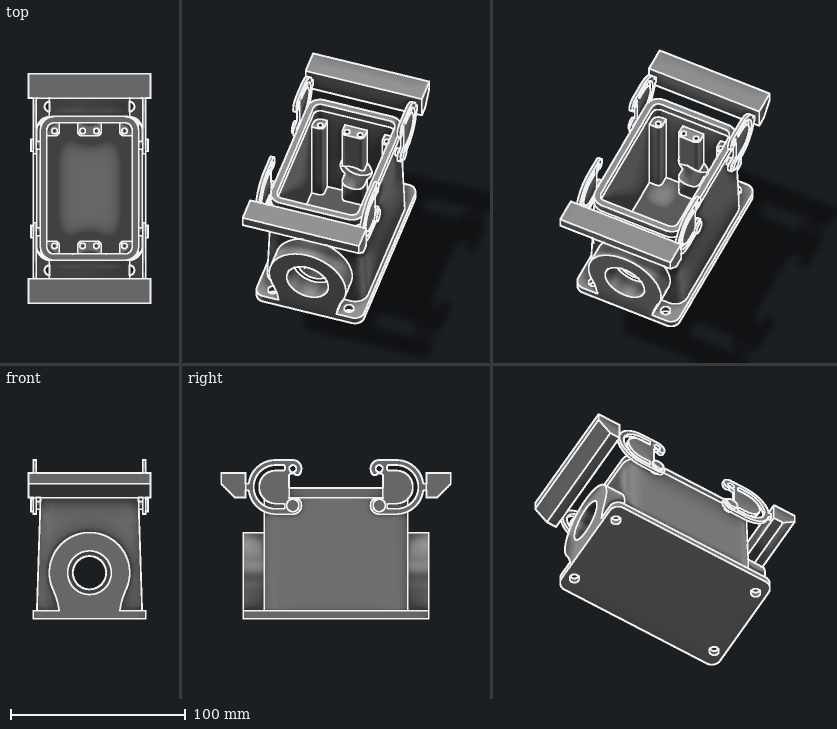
import cadquery as cq
import math

base_width = 64.5
base_length = 106.3
base_thickness = 4.7
base_corner_radius = 5.5
mount_hole_radius = 2.8
mount_hole_x = 22.9
mount_hole_y = 46.8

wall_foot_width = 60.4
rim_width = 56.2
wall_length = 82.4
wall_corner_radius = 7.8
wall_thickness = 3.7
rim_z = 69.5
gasket_height = 5.5
cavity_width = rim_width - 2 * wall_thickness
cavity_length = wall_length - 2 * wall_thickness
cavity_corner_radius = wall_corner_radius - wall_thickness

entry_z = 26.5
entry_radius = 23.0
entry_flare_drop = 9.9
entry_foot_half_width = 17.4
entry_bore_radius = 12.5
entry_bore_depth = 11.8
entry_hole_radius = 9.5

boss_top_z = 62.1
boss_depth = 7.4
boss_corner_radius = 2.6
corner_boss_width = 7.1
middle_boss_width = 13.4
boss_hole_radius = 1.6
boss_hole_depth = 13.2
boss_hole_y = 32.9
corner_boss_hole_x = 20.0
middle_boss_hole_x = 4.0

plate_inner_x = 30.4
plate_thickness = 1.8
plate_center_y = 34.6
plate_center_z = 75.5
plate_radius = 15.5
plate_edge_y = 26.8
lobe_y = 24.7
lobe_radius = 5.0
hook_hole_radius = 2.0
hook_notch_drop = 2.9
hook_notch_radius = 1.2
hook_tip_radius = 1.8
hook_tip_drop = 2.0
pivot_notch_rise = 3.4
pivot_notch_radius = 0.9
plate_top_z = plate_center_z + plate_radius
plate_bottom_z = plate_center_z - plate_radius
hook_z = plate_top_z - lobe_radius
pivot_z = plate_bottom_z + lobe_radius

slot_outer_radius = 12.5
slot_inner_radius = 9.5
slot_end_y = 29.3
slot_corner_radius = 0.8

bar_width = 70.0
bar_outer_y = 65.8
bar_inner_y = 51.7
bar_bottom_z = 69.5
bar_top_z = 83.7
bar_chamfer = 7.9
tab_height = 3.8
tab_fillet = 0.8

pin_radius = 2.2
pin_head_radius = 3.5
pin_head_thickness = 1.3

BOTH_SIDES = (-1, 1)


def corner_points(x, y):
    return [(sx * x, sy * y) for sx in BOTH_SIDES for sy in BOTH_SIDES]


def rounded_rectangle(width, length, radius):
    return cq.Sketch().rect(width, length).vertices().fillet(radius)


def at_both_ends(body):
    """The body together with its mirror image at the -Y end."""
    return body.union(body.mirror("XZ"))


def at_both_sides(body):
    """The body together with its mirror image on the -X side."""
    return body.union(body.mirror("YZ"))


def make_base():
    outline = rounded_rectangle(base_width, base_length, base_corner_radius)
    return cq.Workplane("XY").placeSketch(outline).extrude(base_thickness)


def make_wall():
    foot = rounded_rectangle(wall_foot_width, wall_length, wall_corner_radius)
    rim = rounded_rectangle(rim_width, wall_length, wall_corner_radius)
    wall_rise = cq.Location(cq.Vector(0, 0, rim_z - base_thickness))
    return cq.Workplane("XY").workplane(offset=base_thickness).placeSketch(foot, rim.moved(wall_rise)).loft()


def make_entry_block():
    """Block through both ends: a round top with concave flares down to the base."""
    flare_x = math.sqrt(entry_radius**2 - entry_flare_drop**2)
    right_half = (
        cq.Workplane("XZ", origin=(0, base_length / 2, 0))
        .moveTo(0, entry_z + entry_radius)
        .threePointArc((entry_radius, entry_z), (flare_x, entry_z - entry_flare_drop))
        .tangentArcPoint((entry_foot_half_width, base_thickness), relative=False)
        .lineTo(entry_foot_half_width, 0)
        .lineTo(0, 0)
        .close()
        .extrude(base_length)
    )
    return at_both_sides(right_half)


def make_cavity():
    outline = rounded_rectangle(cavity_width, cavity_length, cavity_corner_radius)
    return cq.Workplane("XY").workplane(offset=base_thickness).placeSketch(outline).extrude(rim_z)


def make_entry_holes():
    through_hole = (
        cq.Workplane("XZ", origin=(0, base_length / 2, entry_z))
        .circle(entry_hole_radius)
        .extrude(base_length)
    )
    bore = (
        cq.Workplane("XZ", origin=(0, base_length / 2, entry_z))
        .circle(entry_bore_radius)
        .extrude(entry_bore_depth)
    )
    return through_hole.union(at_both_ends(bore))


def make_mount_holes():
    return (
        cq.Workplane("XY")
        .pushPoints(corner_points(mount_hole_x, mount_hole_y))
        .circle(mount_hole_radius)
        .extrude(base_thickness)
    )


def make_bosses():
    """Bosses with rounded free edges; their backs are buried in the end walls."""
    height = boss_top_z - base_thickness
    wall_overlap = wall_thickness / 2
    boss_y = (cavity_length - boss_depth + wall_overlap) / 2
    size_y = boss_depth + wall_overlap
    middle = cq.Workplane("XY", origin=(0, boss_y, base_thickness)).rect(middle_boss_width, size_y)
    middle = middle.extrude(height).edges("|Z and <Y").fillet(boss_corner_radius)
    corner_x = (cavity_width - corner_boss_width) / 2
    corner = cq.Workplane("XY", origin=(corner_x, boss_y, base_thickness)).rect(corner_boss_width, size_y)
    corner = corner.extrude(height).edges("|Z and <Y and <X").fillet(boss_corner_radius)
    return at_both_ends(middle.union(at_both_sides(corner)))


def make_boss_holes():
    points = corner_points(corner_boss_hole_x, boss_hole_y) + corner_points(middle_boss_hole_x, boss_hole_y)
    return (
        cq.Workplane("XY")
        .workplane(offset=boss_top_z)
        .pushPoints(points)
        .circle(boss_hole_radius)
        .extrude(-boss_hole_depth)
    )


def make_plate_blank():
    """Outline of the side plate at +X, +Y, without its slot."""
    tip_run = math.sqrt((lobe_radius - hook_tip_radius) ** 2 - hook_tip_drop**2)
    tip_y = lobe_y - tip_run
    tip_z = hook_z - hook_tip_drop
    notch_z = hook_z - hook_notch_drop
    tip_start_y = tip_y + math.sqrt(hook_tip_radius**2 - (tip_z - notch_z) ** 2)
    tip_reach = lobe_radius / (lobe_radius - hook_tip_radius)
    tip_end = (lobe_y - tip_run * tip_reach, hook_z - hook_tip_drop * tip_reach)
    pivot_notch_z = pivot_z + pivot_notch_rise
    pivot_corner_y = lobe_y - math.sqrt(lobe_radius**2 - pivot_notch_rise**2)
    blank = (
        cq.Workplane("YZ", origin=(plate_inner_x, 0, 0))
        .moveTo(plate_edge_y, notch_z)
        .lineTo(tip_start_y, notch_z)
        .threePointArc((tip_y, tip_z - hook_tip_radius), tip_end)
        .threePointArc((lobe_y - lobe_radius, hook_z), (lobe_y, plate_top_z))
        .lineTo(plate_center_y, plate_top_z)
        .threePointArc((plate_center_y + plate_radius, plate_center_z), (plate_center_y, plate_bottom_z))
        .lineTo(lobe_y, plate_bottom_z)
        .threePointArc((lobe_y - lobe_radius, pivot_z), (pivot_corner_y, pivot_notch_z))
        .lineTo(plate_edge_y, pivot_notch_z)
        .close()
        .extrude(plate_thickness)
    )
    plate_mid_x = plate_inner_x + plate_thickness / 2
    for y, z, radius in (
        (plate_edge_y, notch_z, hook_notch_radius),
        (plate_edge_y, pivot_notch_z, pivot_notch_radius),
        (pivot_corner_y, pivot_notch_z, pivot_notch_radius),
    ):
        blank = blank.edges(cq.NearestToPointSelector((plate_mid_x, y, z))).fillet(radius)
    hook_hole = (
        cq.Workplane("YZ", origin=(plate_inner_x, lobe_y, hook_z))
        .circle(hook_hole_radius)
        .extrude(plate_thickness)
    )
    return blank.cut(hook_hole)


def make_plate_slot():
    return (
        cq.Workplane("YZ", origin=(plate_inner_x, 0, plate_center_z))
        .moveTo(slot_end_y, slot_outer_radius)
        .lineTo(plate_center_y, slot_outer_radius)
        .threePointArc((plate_center_y + slot_outer_radius, 0), (plate_center_y, -slot_outer_radius))
        .lineTo(slot_end_y, -slot_outer_radius)
        .lineTo(slot_end_y, -slot_inner_radius)
        .lineTo(plate_center_y, -slot_inner_radius)
        .threePointArc((plate_center_y + slot_inner_radius, 0), (plate_center_y, slot_inner_radius))
        .lineTo(slot_end_y, slot_inner_radius)
        .close()
        .extrude(plate_thickness)
        .edges("|X and <Y")
        .fillet(slot_corner_radius)
    )


def make_tab():
    """Tab from inside the rim of a side plate to the handle bar."""
    rim_mid_y = plate_center_y + (plate_radius + slot_outer_radius) / 2
    return (
        cq.Workplane("YZ", origin=(plate_inner_x, (rim_mid_y + bar_inner_y) / 2, plate_center_z))
        .rect(bar_inner_y - rim_mid_y, tab_height)
        .extrude(plate_thickness)
    )


def make_side_plate():
    """Slotted side plate with its tab, filleted where the tab leaves the plate rim."""
    plate = make_plate_blank().union(make_tab())
    rim_run = math.sqrt(plate_radius**2 - (tab_height / 2) ** 2)
    for side in BOTH_SIDES:
        root = (
            plate_inner_x + plate_thickness / 2,
            plate_center_y + rim_run,
            plate_center_z + side * tab_height / 2,
        )
        plate = plate.edges(cq.NearestToPointSelector(root)).fillet(tab_fillet)
    return plate.cut(make_plate_slot())


def make_pivot_pin():
    """Pin from inside the housing wall through the plate, ending in a flat head."""
    shank_start_x = (cavity_width + rim_width) / 4
    plate_outer_x = plate_inner_x + plate_thickness
    shank = (
        cq.Workplane("YZ", origin=(shank_start_x, lobe_y, pivot_z))
        .circle(pin_radius)
        .extrude(plate_outer_x - shank_start_x)
    )
    head = (
        cq.Workplane("YZ", origin=(plate_outer_x, lobe_y, pivot_z))
        .circle(pin_head_radius)
        .extrude(pin_head_thickness)
    )
    return shank.union(head)


def make_bar():
    return (
        cq.Workplane("YZ", origin=(-bar_width / 2, 0, 0))
        .moveTo(bar_inner_y, bar_top_z)
        .lineTo(bar_outer_y, bar_top_z)
        .lineTo(bar_outer_y, bar_bottom_z + bar_chamfer)
        .lineTo(bar_outer_y - bar_chamfer, bar_bottom_z)
        .lineTo(bar_inner_y, bar_bottom_z)
        .close()
        .extrude(bar_width)
    )


def make_levers():
    side_parts = make_side_plate().union(make_pivot_pin())
    return at_both_ends(at_both_sides(side_parts).union(make_bar()))


def make_housing():
    """Housing with its bosses and the locking levers carried on its pivot pins."""
    shell = make_base().union(make_wall()).union(make_entry_block())
    shell = shell.cut(make_cavity()).union(make_bosses())
    shell = shell.cut(make_entry_holes()).cut(make_mount_holes()).cut(make_boss_holes())
    return shell.union(make_levers())


def make_gasket():
    """Rectangular bead swept around the rim in straight and corner stretches, flush with the rim."""
    half_x = rim_width / 2 - wall_thickness / 2
    half_y = wall_length / 2 - wall_thickness / 2
    mid_radius = wall_corner_radius - wall_thickness / 2
    path = (
        cq.Workplane("XY", origin=(0, 0, rim_z))
        .moveTo(half_x, mid_radius - half_y)
        .lineTo(half_x, half_y - mid_radius)
        .radiusArc((half_x - mid_radius, half_y), -mid_radius)
        .lineTo(mid_radius - half_x, half_y)
        .radiusArc((-half_x, half_y - mid_radius), -mid_radius)
        .lineTo(-half_x, mid_radius - half_y)
        .radiusArc((mid_radius - half_x, -half_y), -mid_radius)
        .lineTo(half_x - mid_radius, -half_y)
        .radiusArc((half_x, mid_radius - half_y), -mid_radius)
        .close()
    )
    section_center = (half_x, mid_radius - half_y, rim_z + gasket_height / 2)
    section = cq.Workplane("XZ", origin=section_center).rect(wall_thickness, gasket_height)
    return section.sweep(path, clean=False)


housing = make_housing()
gasket = make_gasket()

result = cq.Compound.makeCompound([housing.solids().val(), gasket.val()])